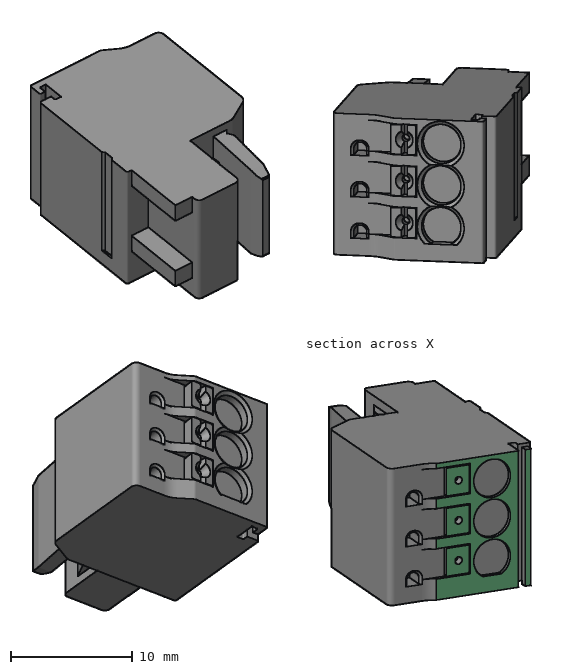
import cadquery as cq
import math

height = 11.95
depth = 13.5
length = 20.4
body_end_x = 13.78
upper_face_x = 1.04
ramp_angle = math.radians(30)
ramp_foot_y = 8.13
ramp_head_y = ramp_foot_y + upper_face_x / math.tan(ramp_angle)
upper_corner_radius = 0.52
ramp_head_radius = 2.0
ramp_foot_radius = 0.37
slant_top_x = 12.33
slant_end_y = 11.05
slant_radius = 0.7
edge_radius = 0.18

slot_left_x = 1.37
slot_right_x = 2.16
slot_head_left_x = 0.67
slot_head_right_x = 2.7
slot_head_low_y = 1.2
slot_head_top_y = 1.82
hook_bottom_y = 0.67
slot_corner_radius = 0.1

groove_start_x = 10.4
groove_end_x = 11.73
groove_depth = 0.2

nose_bottom_z = 1.45
nose_low_y = 2.24
nose_high_y = 6.64
nose_radius = 0.47
rail_low_y = 0.47
rail_end_x = 19.6
rail_width = 1.67
rail_count = 2
rail_pitch = 7.0
bump_crest_y = 7.34
bump_profile = [
    (15.41, nose_high_y),
    (16.12, bump_crest_y),
    (16.7, bump_crest_y),
    (18.37, nose_high_y),
]

latch_margin = 0.8
arm_root_low_y = 9.07
arm_root_high_y = 10.5
arm_notch_x = 14.14
arm_notch_y = 10.2
arm_crest_x = 14.71
arm_crest_y = 10.53
tip_start_x = 19.13
tip_start_low_y = 8.78
tip_start_high_y = 10.1
tip_flat_x = 20.28
tip_flat_high_y = 9.81
tip_bend_x = 19.83
tip_bend_low_y = 8.84
tip_low_y = 9.02
tip_high_y = 9.72
tip_drop = 0.3
tip_end_drop = 0.38
overlap = 0.5

pole_count = 3
pole_pitch = 3.5
recess_depth = upper_face_x

window_low_y = 6.26
window_high_y = ramp_head_y + 0.6
window_low_z = 1.87
window_height = 2.6
button_high_y = 8.45
button_gap = 0.06
button_radius = 0.12

probe_y = 7.3
probe_diameter = 1.45
probe_inner_diameter = 0.6
probe_cone_depth = 0.7
probe_hole_depth = 1.5
blade_slot_width = 0.5
blade_slot_floor_width = 0.2
blade_slot_depth = 0.7

wire_y = 4.24
wire_z = 2.88
wire_diameter = 3.3
wire_rim_diameter = 3.92
wire_rim_depth = 0.25

test_y = 11.22
test_floor_z = 1.46
test_width = 1.53
test_straight_height = 0.54
test_inset = 0.22
test_depth = 2.0


def box(x0, x1, y0, y1, z0, z1):
    return cq.Workplane("XY").box(x1 - x0, y1 - y0, z1 - z0, centered=False).translate((x0, y0, z0))


def entry_plane(x):
    """Sketch plane facing -X at the given X; local axes are (-Y, Z)."""
    return cq.Workplane(cq.Plane(origin=(x, 0, 0), xDir=(0, -1, 0), normal=(-1, 0, 0)))


def fillet_upright(solid, x, y, radius):
    """Round the full-height edge standing at (x, y)."""
    nearest = cq.selectors.NearestToPointSelector((x, y, height / 2))
    return solid.edges("|Z").edges(nearest).fillet(radius)


def make_housing():
    outline = [
        (0, hook_bottom_y),
        (slot_left_x, hook_bottom_y),
        (slot_left_x, slot_head_low_y),
        (slot_head_left_x, slot_head_low_y),
        (slot_head_left_x, slot_head_top_y),
        (slot_head_right_x, slot_head_top_y),
        (slot_head_right_x, slot_head_low_y),
        (slot_right_x, slot_head_low_y),
        (slot_right_x, 0),
        (body_end_x, 0),
        (body_end_x, slant_end_y),
        (slant_top_x, depth),
        (upper_face_x, depth),
        (upper_face_x, ramp_head_y),
        (0, ramp_foot_y),
    ]
    housing = cq.Workplane("XY").polyline(outline).close().extrude(height)
    rounded = {
        edge_radius: [(0, hook_bottom_y), (slot_right_x, 0), (body_end_x, 0)],
        slot_corner_radius: [
            (slot_left_x, hook_bottom_y),
            (slot_head_left_x, slot_head_low_y),
            (slot_head_right_x, slot_head_low_y),
        ],
        slant_radius: [(body_end_x, slant_end_y), (slant_top_x, depth)],
        upper_corner_radius: [(upper_face_x, depth)],
        ramp_head_radius: [(upper_face_x, ramp_head_y)],
        ramp_foot_radius: [(0, ramp_foot_y)],
    }
    for radius, corners in rounded.items():
        for x, y in corners:
            housing = fillet_upright(housing, x, y, radius)
    return housing


def make_side_groove():
    """Shallow groove with sloping sides, open at the top."""
    profile = [
        (groove_start_x, 0),
        (groove_end_x, 0),
        (groove_end_x - groove_depth, groove_depth),
        (groove_start_x + groove_depth, groove_depth),
    ]
    groove = cq.Workplane("XY").polyline(profile).close().extrude(height - nose_bottom_z)
    return groove.translate((0, 0, nose_bottom_z))


def make_nose():
    """Plug nose with rails on its -Y side and a locking bump on its +Y side."""
    start_x = body_end_x - overlap
    nose = box(start_x, length, nose_low_y, nose_high_y, nose_bottom_z, height)
    nose = nose.edges("|Z and >X").fillet(nose_radius)
    for i in range(rail_count):
        top_z = height - i * rail_pitch
        rail = box(start_x, rail_end_x, rail_low_y, nose_low_y + overlap, top_z - rail_width, top_z)
        nose = nose.union(rail)
    bump = cq.Workplane("XY").polyline(bump_profile).close()
    bump = bump.extrude(height - nose_bottom_z - 2 * latch_margin)
    return nose.union(bump.translate((0, 0, nose_bottom_z + latch_margin)))


def make_latch_arm():
    start_x = body_end_x - overlap
    side = [
        (start_x, arm_root_low_y),
        (arm_notch_x, arm_root_low_y),
        (tip_start_x, tip_start_low_y),
        (tip_bend_x, tip_bend_low_y),
        (length, tip_low_y),
        (length, tip_high_y),
        (tip_flat_x, tip_flat_high_y),
        (tip_start_x, tip_start_high_y),
        (arm_crest_x, arm_crest_y),
        (arm_notch_x, arm_notch_y),
        (body_end_x, arm_root_high_y),
        (start_x, arm_root_high_y),
    ]
    low_z = nose_bottom_z + latch_margin
    high_z = height - latch_margin
    plan = [
        (start_x, low_z),
        (tip_start_x, low_z),
        (tip_flat_x, low_z + tip_drop),
        (length, low_z + tip_end_drop),
        (length, high_z - tip_end_drop),
        (tip_flat_x, high_z - tip_drop),
        (tip_start_x, high_z),
        (start_x, high_z),
    ]
    arm = cq.Workplane("XY").polyline(side).close().extrude(height)
    return arm.intersect(cq.Workplane("XZ").polyline(plan).close().extrude(-depth))


def make_button_window():
    """Recess around a release button; the button itself stays standing."""
    high_z = window_low_z + window_height
    window = box(0, recess_depth, window_low_y, window_high_y, window_low_z, high_z)
    button = box(
        0,
        recess_depth,
        window_low_y + button_gap,
        button_high_y,
        window_low_z + button_gap,
        high_z - button_gap,
    )
    return window, button.edges("|X").fillet(button_radius)


def make_probe_cut():
    """Conical test point and the blade slot crossing the button."""
    center_z = window_low_z + window_height / 2
    cone = (
        entry_plane(0)
        .center(-probe_y, center_z)
        .circle(probe_diameter / 2)
        .workplane(offset=-probe_cone_depth)
        .circle(probe_inner_diameter / 2)
        .loft()
    )
    hole = entry_plane(0).center(-probe_y, center_z).circle(probe_inner_diameter / 2).extrude(-probe_hole_depth)
    half_width = blade_slot_width / 2
    half_floor = blade_slot_floor_width / 2
    slot_profile = [
        (0, probe_y - half_width),
        (0, probe_y + half_width),
        (blade_slot_depth, probe_y + half_floor),
        (blade_slot_depth, probe_y - half_floor),
    ]
    slot = cq.Workplane("XY").polyline(slot_profile).close().extrude(window_height)
    return cone.union(hole).union(slot.translate((0, 0, window_low_z)))


def make_wire_entry(center_z):
    """Round wire entry with a conical rim, kept above the floor level of the nose."""
    rim = (
        entry_plane(0)
        .center(-wire_y, center_z)
        .circle(wire_rim_diameter / 2)
        .workplane(offset=-wire_rim_depth)
        .circle(wire_diameter / 2)
        .loft()
    )
    bore = entry_plane(0).center(-wire_y, center_z).circle(wire_diameter / 2).extrude(-recess_depth)
    return rim.union(bore).intersect(box(0, recess_depth, 0, depth, nose_bottom_z, height))


def arch(plane, width):
    """Flat-bottomed outline with a semicircular top."""
    half = width / 2
    spring_z = test_floor_z + test_straight_height
    return (
        plane.moveTo(-test_y - half, test_floor_z)
        .lineTo(-test_y + half, test_floor_z)
        .lineTo(-test_y + half, spring_z)
        .threePointArc((-test_y, spring_z + half), (-test_y - half, spring_z))
        .close()
    )


def make_test_hole():
    """Arched test hole with a flared mouth."""
    inner_width = test_width - 2 * test_inset
    mouth = arch(entry_plane(upper_face_x), test_width)
    mouth = arch(mouth.workplane(offset=-test_inset), inner_width).loft(ruled=True)
    shaft = arch(entry_plane(upper_face_x), inner_width).extrude(-test_depth)
    return mouth.union(shaft)


def cut_poles(body):
    window, button = make_button_window()
    probe = make_probe_cut()
    test_hole = make_test_hole()
    for i in range(pole_count):
        rise = (0, 0, i * pole_pitch)
        body = body.cut(window.translate(rise)).union(button.translate(rise))
        body = body.cut(probe.translate(rise))
        body = body.cut(make_wire_entry(wire_z + i * pole_pitch))
        body = body.cut(test_hole.translate(rise))
    return body


housing = make_housing().cut(make_side_groove())
result = cut_poles(housing).union(make_nose()).union(make_latch_arm())